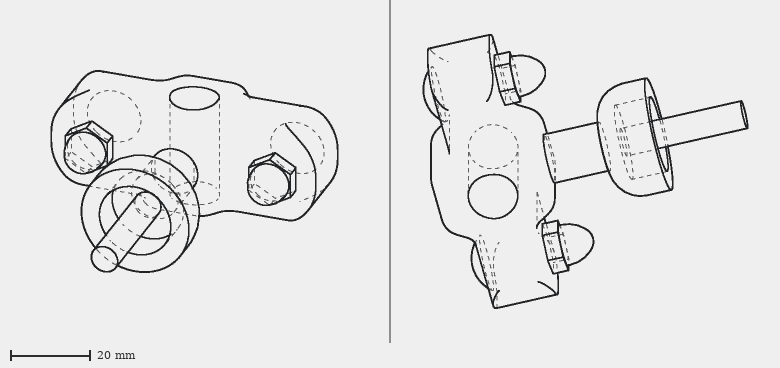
import cadquery as cq
import math

body_length = 71.1
arm_half_depth = 8.0
hub_half_depth = 14.65
body_half_height = 14.0
draft_angle = 5.0
end_radius = 12.5
rim_radius = 3.4
bore_diameter = 12.5

hub_flat_half_width = 5.2
shoulder_radius = 5.5
foot_radius = 2.9
flank_angle = 60.0

bolt_spacing = 49.3
head_radius = 7.2
head_height = 3.6
nut_sides = 6
nut_across_flats = 11.2
nut_height = 4.0
cap_radius = 5.2
collar_height = 0.7
cap_flank_radius = 8.2
cap_flank_length = 6.25

stem_diameter = 12.6
cup_diameter = 29.0
cup_top = 29.0
cup_mouth = 43.1
cup_round = 7.9
pocket_diameter = 19.2
pocket_depth = 9.2
rod_diameter = 7.1
total_length = 80.0
rod_end = total_length - hub_half_depth


def quarter_outline():
    """Points of the body outline in the quarter x > 0, y > 0, from the hub flat to the foot."""
    sin_flank = math.sin(math.radians(flank_angle))
    cos_flank = math.cos(math.radians(flank_angle))
    sin_half = math.sin(math.radians(flank_angle / 2))
    cos_half = math.cos(math.radians(flank_angle / 2))

    shoulder_centre_y = hub_half_depth - shoulder_radius
    shoulder_mid = (
        hub_flat_half_width + shoulder_radius * sin_half,
        shoulder_centre_y + shoulder_radius * cos_half,
    )
    shoulder_end = (
        hub_flat_half_width + shoulder_radius * sin_flank,
        shoulder_centre_y + shoulder_radius * cos_flank,
    )
    foot_centre_y = arm_half_depth + foot_radius
    foot_start_y = foot_centre_y - foot_radius * cos_flank
    foot_start_x = shoulder_end[0] + (shoulder_end[1] - foot_start_y) * cos_flank / sin_flank
    foot_centre_x = foot_start_x + foot_radius * sin_flank
    foot_mid = (foot_centre_x - foot_radius * sin_half, foot_centre_y - foot_radius * cos_half)
    foot_end = (foot_centre_x, arm_half_depth)
    return shoulder_mid, shoulder_end, (foot_start_x, foot_start_y), foot_mid, foot_end


def make_body():
    shoulder_mid, shoulder_end, foot_start, foot_mid, foot_end = quarter_outline()
    blank_half_length = body_length / 2 + rim_radius
    quarter = (
        cq.Workplane("XY")
        .moveTo(0, hub_half_depth)
        .lineTo(hub_flat_half_width, hub_half_depth)
        .threePointArc(shoulder_mid, shoulder_end)
        .lineTo(*foot_start)
        .threePointArc(foot_mid, foot_end)
        .lineTo(blank_half_length, arm_half_depth)
        .lineTo(blank_half_length, 0)
        .lineTo(0, 0)
        .close()
        .extrude(body_half_height, both=True)
    )
    half = quarter.union(quarter.mirror("YZ"))
    blank = half.union(half.mirror("XZ")).clean()

    edge_half_height = body_half_height - hub_half_depth * math.tan(math.radians(draft_angle))
    ridged_bar = (
        cq.Workplane("YZ")
        .polyline([
            (-hub_half_depth, edge_half_height),
            (0, body_half_height),
            (hub_half_depth, edge_half_height),
            (hub_half_depth, -edge_half_height),
            (0, -body_half_height),
            (-hub_half_depth, -edge_half_height),
        ])
        .close()
        .extrude(blank_half_length, both=True)
    )
    blank = blank.intersect(ridged_bar)

    rims = blank.edges("not #X").edges("not (>Z or <Z)")
    body = rims.fillet(rim_radius)

    rounded_ends = (
        cq.Workplane("XY")
        .box(body_length, 2 * hub_half_depth, 2 * body_half_height)
        .edges("|Y")
        .fillet(end_radius)
    )
    bore = cq.Workplane("XY").circle(bore_diameter / 2).extrude(body_half_height, both=True)
    return body.intersect(rounded_ends).cut(bore)


def make_bolt():
    """Domed head, and hexagon nut with its cap, on the Y axis against the two arm faces."""
    sphere_radius = (head_radius**2 + head_height**2) / (2 * head_height)
    head_tip = arm_half_depth + head_height
    mid_angle = math.asin(head_radius / sphere_radius) / 2
    head_mid = (
        sphere_radius * math.sin(mid_angle),
        head_tip - sphere_radius * (1 - math.cos(mid_angle)),
    )
    head = (
        cq.Workplane("XY")
        .moveTo(0, arm_half_depth)
        .lineTo(head_radius, arm_half_depth)
        .threePointArc(head_mid, (0, head_tip))
        .close()
        .revolve(360, (0, 0), (0, 1))
    )

    half_side_angle = 180 / nut_sides
    nut_across_corners = nut_across_flats / math.cos(math.radians(half_side_angle))
    nut = (
        cq.Workplane("XZ", origin=(0, -arm_half_depth, 0))
        .polygon(nut_sides, nut_across_corners)
        .extrude(nut_height)
        .rotate((0, 0, 0), (0, 1, 0), half_side_angle)
    )

    collar_end = -arm_half_depth - nut_height - collar_height
    flank_turn = math.asin(cap_flank_length / cap_flank_radius)
    flank_centre_x = cap_radius - cap_flank_radius
    flank_mid = (
        flank_centre_x + cap_flank_radius * math.cos(flank_turn / 2),
        collar_end - cap_flank_radius * math.sin(flank_turn / 2),
    )
    flank_end = (
        flank_centre_x + cap_flank_radius * math.cos(flank_turn),
        collar_end - cap_flank_length,
    )
    tip_radius = flank_end[0] / math.cos(flank_turn)
    tip_centre_y = flank_end[1] + tip_radius * math.sin(flank_turn)
    tip_mid_angle = (flank_turn + math.pi / 2) / 2
    tip_mid = (
        tip_radius * math.cos(tip_mid_angle),
        tip_centre_y - tip_radius * math.sin(tip_mid_angle),
    )
    cap = (
        cq.Workplane("XY")
        .moveTo(0, -arm_half_depth)
        .lineTo(cap_radius, -arm_half_depth)
        .lineTo(cap_radius, collar_end)
        .threePointArc(flank_mid, flank_end)
        .threePointArc(tip_mid, (0, tip_centre_y - tip_radius))
        .close()
        .revolve(360, (0, 0), (0, 1))
    )
    return head, nut.union(cap)


def rod_along_y(diameter, start, end):
    """Cylinder on the -Y axis between two distances from the bore axis."""
    return cq.Workplane("XZ", origin=(0, -start, 0)).circle(diameter / 2).extrude(end - start)


def make_stem_and_cup():
    pocket_floor = cup_mouth - pocket_depth
    stem = rod_along_y(stem_diameter, hub_half_depth, cup_top)
    cup = rod_along_y(cup_diameter, cup_top, cup_mouth).faces(">Y").edges().fillet(cup_round)
    pocket = rod_along_y(pocket_diameter, pocket_floor, cup_mouth)
    rod = rod_along_y(rod_diameter, pocket_floor, rod_end)
    return cup.cut(pocket).union(stem).union(rod)


result = make_body().union(make_stem_and_cup())
for side in (-1, 1):
    for bolt_part in make_bolt():
        result = result.union(bolt_part.translate((side * bolt_spacing / 2, 0, 0)))